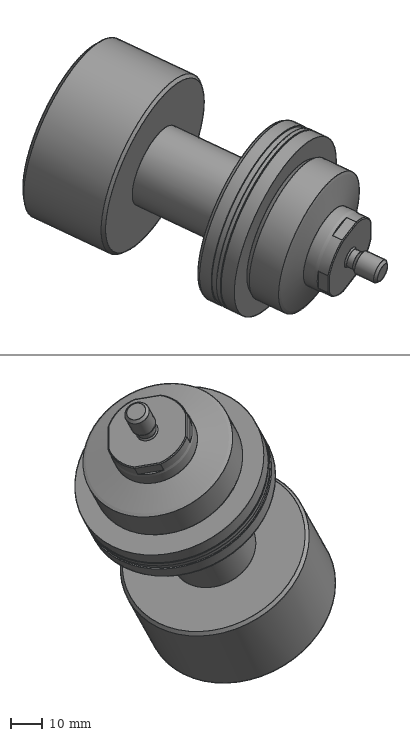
import cadquery as cq

knob_end = 31.3
flange_start = 65.9
joint_x = 74.6
rim_end = 79.8
drum_end = 92.3
boss_start = 95.0
boss_end = 103.9
overall_length = 116.0

rim_radius = 31.49
shaft_radius = 14.0
drum_radius = 24.9
neck_radius = 3.1
plug_radius = 4.1

knob_front_length = 1.5
knob_front_step = 1.9
knob_rear_chamfer = 1.0
flange_front_length = 1.0
flange_front_step = 0.6
groove_start = 71.2
groove_width = 2.0
groove_depth = 0.5
center_hole_radius = 0.9
countersink_radius = 2.1
countersink_depth = countersink_radius - center_hole_radius
center_hole_depth = 3.5
center_hole_tip = 0.6

joint_relief_width = 0.3
joint_relief_depth = 0.3
drum_front_length = 1.6
drum_front_step = 1.2
drum_rear_length = 0.3
drum_rear_step = 1.0
boss_taper_start = 99.0
boss_taper_depth = 0.2
boss_end_radius = shaft_radius - boss_taper_depth
flats_start = 100.0
flat_distance = 13.1
boss_edge_chamfer = 0.3

stem_root_length = 0.6
stem_root_radius = 3.6
neck_end = 106.7
shoulder_length = 1.3
tip_chamfer = 0.9


def revolve_about_x(profile):
    """Revolve a closed (x, radius) outline around the X axis."""
    return cq.Workplane("XY").polyline(profile).close().revolve(360, (0, 0, 0), (1, 0, 0))


def make_handle():
    """Knob, shaft and grooved flange, with a center hole in the knob face."""
    groove_end = groove_start + groove_width
    groove_radius = rim_radius - groove_depth
    return revolve_about_x([
        (center_hole_depth + center_hole_tip, 0),
        (center_hole_depth, center_hole_radius),
        (countersink_depth, center_hole_radius),
        (0, countersink_radius),
        (0, rim_radius - knob_front_step),
        (knob_front_length, rim_radius),
        (knob_end - knob_rear_chamfer, rim_radius),
        (knob_end, rim_radius - knob_rear_chamfer),
        (knob_end, shaft_radius),
        (flange_start, shaft_radius),
        (flange_start, rim_radius - flange_front_step),
        (flange_start + flange_front_length, rim_radius),
        (groove_start, rim_radius),
        (groove_start, groove_radius),
        (groove_end, groove_radius),
        (groove_end, rim_radius),
        (joint_x, rim_radius),
        (joint_x, 0),
    ])


def make_head():
    """Rim, drum with a conical rear face, and a tapered boss with four flats."""
    head = revolve_about_x([
        (joint_x, 0),
        (joint_x, rim_radius - joint_relief_depth),
        (joint_x + joint_relief_width, rim_radius),
        (rim_end, rim_radius),
        (rim_end, drum_radius - drum_front_step),
        (rim_end + drum_front_length, drum_radius),
        (drum_end, drum_radius),
        (drum_end + drum_rear_length, drum_radius - drum_rear_step),
        (boss_start, shaft_radius),
        (boss_taper_start, shaft_radius),
        (flats_start, boss_end_radius),
        (boss_end, boss_end_radius),
        (boss_end, 0),
    ])

    flat_length = boss_end - flats_start
    flats_width = 2 * flat_distance
    flats_plane = cq.Workplane("YZ", origin=(flats_start, 0, 0))
    square = flats_plane.rect(flats_width, flats_width).extrude(flat_length)
    waste = flats_plane.circle(shaft_radius).extrude(flat_length).cut(square)
    return head.cut(waste).faces(">X").chamfer(boss_edge_chamfer)


def make_stem():
    """Necked plug standing on the end of the boss."""
    return revolve_about_x([
        (boss_end, 0),
        (boss_end, stem_root_radius),
        (boss_end + stem_root_length, neck_radius),
        (neck_end, neck_radius),
        (neck_end + shoulder_length, plug_radius),
        (overall_length - tip_chamfer, plug_radius),
        (overall_length, plug_radius - tip_chamfer),
        (overall_length, 0),
    ])


handle = make_handle()
head = make_head()
stem = make_stem()

result = cq.Compound.makeCompound([handle.val(), head.val(), stem.val()])